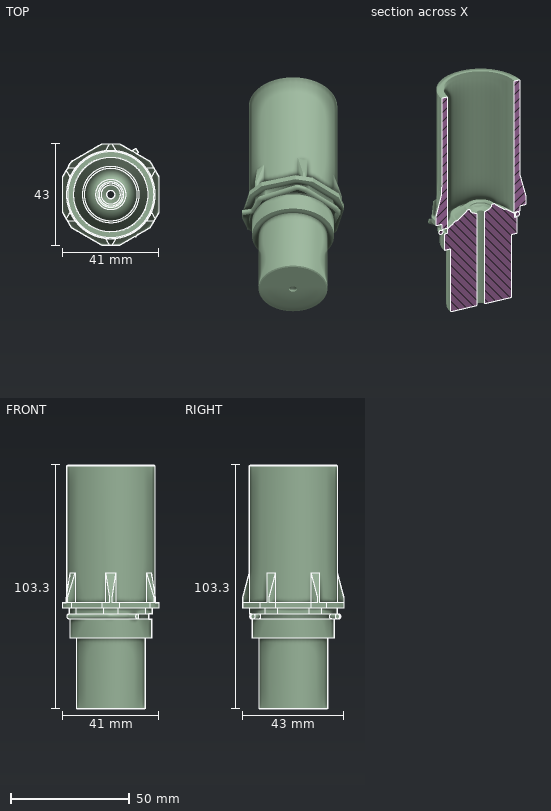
import cadquery as cq
import math

collar_bottom = 30.1
collar_top = 38.1
hexagon_bottom = 40.3
flange_bottom = 42.8
flange_top = 45.0
rib_slope_bottom = 47.2
rib_top = 57.5
part_top = 103.3

barrel_radius = 37.5 / 2
bore_radius = 31.5 / 2
tail_radius = 29.2 / 2
collar_radius = 34.8 / 2
neck_radius = 32.2 / 2
rim_chamfer_width = 0.5
rim_chamfer_height = 0.3

flange_flat = 41.0 / 2
flange_corner = 43.0 / 2
hexagon_flat = 35.3 / 2
hexagon_corner = 37.3 / 2
side_count = 6
side_angle = 360 / side_count

rib_tip_half_width = 0.5
rib_side_angle = 30.0
rib_root = 17.6

shoulder_radius = 12.0
dome_radius = 11.2
tip_base_radius = 7.0
tip_radius = 6.4
socket_mouth_radius = 5.5
socket_radius = 4.9
funnel_radius = 4.0
hole_radius = 3.4 / 2
shoulder_height = 2.8
dome_height = 3.3
socket_wall_depth = 0.5
funnel_depth = 0.9

wire_radius = (hexagon_bottom - collar_top) / 2
wire_height = (hexagon_bottom + collar_top) / 2
wire_bend_radius = 1.9
clip_middle_y = 0.8
clip_corners = [(-17.6, 8.7), (-16.6, 11.8), (-0.36, 18.4), (7.3, 15.3), (11.2, 17.9)]


def cut_corner_hexagon(flat, corner, bottom, top):
    """A hexagonal plate with long sides facing +X and -X and its corners cut off square."""
    level = cq.Workplane("XY").workplane(offset=bottom)
    hexagon = level.polygon(side_count, 2 * flat, circumscribed=True).extrude(top - bottom)
    corner_cutter = (
        level.polygon(side_count, 2 * corner, circumscribed=True)
        .extrude(top - bottom)
        .rotate((0, 0, 0), (0, 0, 1), side_angle / 2)
    )
    return hexagon.intersect(corner_cutter)


def make_rib(angle):
    """A wedge that narrows outwards, with a sloping outer face above a short upright one."""
    rib_depth = flange_corner - rib_root
    root_half_width = rib_tip_half_width + rib_depth * math.tan(math.radians(rib_side_angle))
    wedge = (
        cq.Workplane("XY")
        .workplane(offset=flange_top)
        .polyline([
            (rib_root, -root_half_width),
            (flange_corner, -rib_tip_half_width),
            (flange_corner, rib_tip_half_width),
            (rib_root, root_half_width),
        ])
        .close()
        .extrude(rib_top - flange_top)
    )
    side_profile = (
        cq.Workplane("XZ")
        .polyline([
            (rib_root, flange_top),
            (flange_corner, flange_top),
            (flange_corner, rib_slope_bottom),
            (barrel_radius, rib_top),
            (rib_root, rib_top),
        ])
        .close()
        .extrude(root_half_width, both=True)
    )
    return wedge.intersect(side_profile).rotate((0, 0, 0), (0, 0, 1), angle)


def make_housing():
    """Barrel with its ribbed flange and the smaller hexagon, bored right through."""
    body = (
        cq.Workplane("XZ")
        .polyline([
            (0, flange_bottom),
            (barrel_radius, flange_bottom),
            (barrel_radius, part_top - rim_chamfer_height),
            (barrel_radius - rim_chamfer_width, part_top),
            (0, part_top),
        ])
        .close()
        .revolve(360, (0, 0), (0, 1))
    )
    flange = cut_corner_hexagon(flange_flat, flange_corner, flange_bottom, flange_top)
    hexagon = cut_corner_hexagon(hexagon_flat, hexagon_corner, hexagon_bottom, flange_bottom)
    body = body.union(flange).union(hexagon)
    for index in range(side_count):
        body = body.union(make_rib((index + 0.5) * side_angle))
    bore = (
        cq.Workplane("XY")
        .workplane(offset=hexagon_bottom)
        .circle(bore_radius)
        .extrude(part_top - hexagon_bottom)
    )
    return body.cut(bore)


def rounded_path(points, bend_radius):
    """A wire of straight stretches through the points, with an arc at every inner point."""
    edges = []
    start = points[0]
    for before, corner, after in zip(points, points[1:], points[2:]):
        incoming = (before - corner).normalized()
        outgoing = (after - corner).normalized()
        half_angle = incoming.getAngle(outgoing) / 2
        setback = bend_radius / math.tan(half_angle)
        corner_gap = bend_radius / math.sin(half_angle) - bend_radius
        bend_start = corner + incoming * setback
        bend_middle = corner + (incoming + outgoing).normalized() * corner_gap
        bend_end = corner + outgoing * setback
        edges.append(cq.Edge.makeLine(start, bend_start))
        edges.append(cq.Edge.makeThreePointArc(bend_start, bend_middle, bend_end))
        start = bend_end
    edges.append(cq.Edge.makeLine(start, points[-1]))
    return cq.Wire.assembleEdges(edges)


def make_clip():
    """Bent round wire, open on the +X side, with both ends flared outwards."""
    far_half = [cq.Vector(x, clip_middle_y + reach, wire_height) for x, reach in clip_corners]
    near_half = [cq.Vector(x, clip_middle_y - reach, wire_height) for x, reach in clip_corners]
    points = far_half[::-1] + near_half
    end_plane = cq.Plane(points[0], xDir=(0, 0, 1), normal=points[1] - points[0])
    path = rounded_path(points, wire_bend_radius)
    return cq.Workplane(end_plane).circle(wire_radius).sweep(path)


def make_insert(clip):
    """Tail, collar, neck and nozzle with a central hole, the neck notched for the clip."""
    shoulder_z = hexagon_bottom + shoulder_height
    tip_base_z = shoulder_z + dome_height
    tip_z = tip_base_z + tip_base_radius - tip_radius
    socket_top_z = tip_z - (socket_mouth_radius - socket_radius)
    socket_bottom_z = socket_top_z - socket_wall_depth
    funnel_top_z = socket_bottom_z - (socket_radius - funnel_radius)
    body = (
        cq.Workplane("XZ")
        .polyline([
            (hole_radius, 0),
            (tail_radius - rim_chamfer_width, 0),
            (tail_radius, rim_chamfer_height),
            (tail_radius, collar_bottom),
            (collar_radius, collar_bottom),
            (collar_radius, collar_top),
            (neck_radius, collar_top),
            (neck_radius, hexagon_bottom),
            (bore_radius, hexagon_bottom),
            (shoulder_radius, shoulder_z),
            (dome_radius, shoulder_z),
            (tip_base_radius, tip_base_z),
            (tip_radius, tip_z),
            (socket_mouth_radius, tip_z),
            (socket_radius, socket_top_z),
            (socket_radius, socket_bottom_z),
            (funnel_radius, funnel_top_z),
            (hole_radius, funnel_top_z - funnel_depth),
        ])
        .close()
        .revolve(360, (0, 0), (0, 1))
    )
    return body.cut(clip)


housing = make_housing()
clip = make_clip()
insert = make_insert(clip)

result = cq.Compound.makeCompound([
    housing.solids().val(),
    insert.solids().val(),
    clip.solids().val(),
])